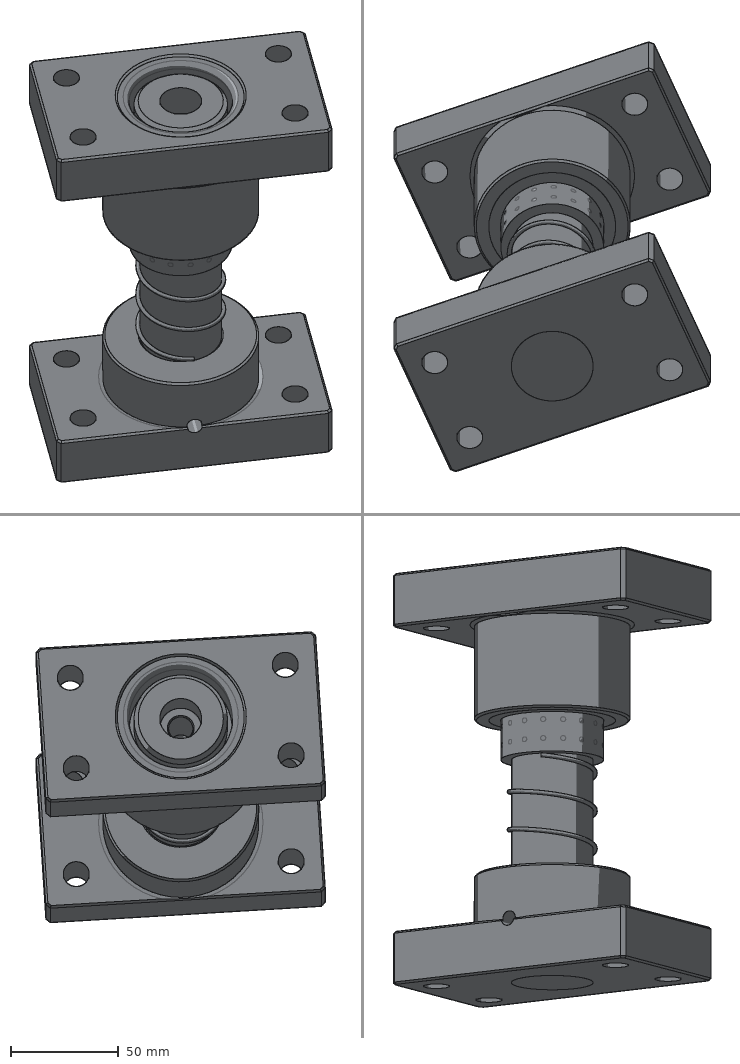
import cadquery as cq
import math

TOTAL_HEIGHT = 193.7
PLATE_LENGTH = 130.0
PLATE_WIDTH = 75.0
PLATE_THICKNESS = 25.0
PLATE_ANGLE = 35.5
CORNER_CHAMFER = 2.0
EDGE_CHAMFER = 1.0

BOLT_SPACING_LONG = 100.0
BOLT_SPACING_SHORT = 44.0
BOLT_HOLE_DIAMETER = 12.0

BOSS_RADIUS = 36.2
ROOT_WIDTH = 2.0
FLARE_HEIGHT = 1.0
GROOVE_DEPTH = 0.5
LOWER_BOSS_TOP = 50.2
UPPER_BOSS_BOTTOM = 123.5
SIDE_HOLE_RADIUS = 3.5
PILLAR_SEAT_CHAMFER = 0.8

BUSHING_RADIUS = 29.5
BUSHING_BORE_RADIUS = 24.0
BUSHING_MOUTH_FILLET = 2.7
BUSHING_SEAT_CHAMFER = 1.0

PILLAR_RADIUS = 19.0
TAPPED_HOLE_RADIUS = 5.6
TAPPED_HOLE_CHAMFER = 0.5
TAPPED_HOLE_DEPTH = 29.0
DRILL_POINT_ANGLE = 118

CAP_RADIUS = 21.7
CAP_THICKNESS = 15.5
CAP_CHAMFER = 2.0
CAP_HOLE_RADIUS = 9.7
CAP_RECESS = 3.3

CAGE_RADIUS = 23.8
CAGE_BOTTOM = 105.0
BALL_RADIUS = 3.5
BALLS_PER_ROW = 16
BALL_ROW_HEIGHTS = (111.2, 120.0)
FIRST_BALL_ANGLE = 14.0

WIRE_RADIUS = 1.0
SPRING_PITCH = 17.8
SPRING_START_ANGLE = 313

UPPER_PLATE_BOTTOM = TOTAL_HEIGHT - PLATE_THICKNESS
CAP_TOP = TOTAL_HEIGHT - CAP_RECESS
BUSHING_TOP = TOTAL_HEIGHT - BUSHING_SEAT_CHAMFER
PILLAR_TOP = CAP_TOP - CAP_THICKNESS
BALL_CENTRE_RADIUS = BUSHING_BORE_RADIUS - BALL_RADIUS
SPRING_RADIUS = PILLAR_RADIUS + WIRE_RADIUS


def cylinder(radius, bottom, top):
    return cq.Workplane("XY").workplane(offset=bottom).circle(radius).extrude(top - bottom)


def revolved(profile):
    """Turn a closed (radius, height) profile about the Z axis."""
    return cq.Workplane("XZ").polyline(profile).close().revolve(360, (0, 0), (0, 1))


def drilled_plate(bottom):
    """Rectangular plate with broken edges and four bolt holes, in its own unturned axes."""
    return (
        cq.Workplane("XY").workplane(offset=bottom)
        .rect(PLATE_LENGTH, PLATE_WIDTH).extrude(PLATE_THICKNESS)
        .edges("|Z").chamfer(CORNER_CHAMFER)
        .faces("<Z or >Z").edges().chamfer(EDGE_CHAMFER)
        .faces(">Z").workplane()
        .rect(BOLT_SPACING_LONG, BOLT_SPACING_SHORT, forConstruction=True).vertices()
        .hole(BOLT_HOLE_DIAMETER)
    )


def boss(plate_face, free_end):
    """Round boss standing on a plate face, with a chamfered free end."""
    free_side = ">Z" if free_end > plate_face else "<Z"
    return cylinder(BOSS_RADIUS, plate_face, free_end).faces(free_side).chamfer(EDGE_CHAMFER)


def upper_boss_flare():
    """Cone at the upper boss's root, trimmed to the flat width of the plate's underside."""
    profile = [
        (0, UPPER_PLATE_BOTTOM),
        (BOSS_RADIUS + ROOT_WIDTH, UPPER_PLATE_BOTTOM),
        (BOSS_RADIUS, UPPER_PLATE_BOTTOM - FLARE_HEIGHT),
        (0, UPPER_PLATE_BOTTOM - FLARE_HEIGHT),
    ]
    flat_width = PLATE_WIDTH - 2 * EDGE_CHAMFER
    trim = cq.Workplane("XY").rect(PLATE_LENGTH, flat_width).extrude(TOTAL_HEIGHT)
    return revolved(profile).intersect(trim)


def lower_boss_groove():
    """V-groove sunk into the lower plate around the foot of its boss."""
    return revolved([
        (BOSS_RADIUS, PLATE_THICKNESS),
        (BOSS_RADIUS + ROOT_WIDTH, PLATE_THICKNESS),
        (BOSS_RADIUS, PLATE_THICKNESS - GROOVE_DEPTH),
    ])


def turned(body):
    return body.rotate((0, 0, 0), (0, 0, 1), PLATE_ANGLE)


def make_lower_plate():
    """Foot plate and boss, bored for the pillar, with a radial hole at the boss root."""
    side_hole = (
        cq.Workplane("XZ").center(0, PLATE_THICKNESS)
        .circle(SIDE_HOLE_RADIUS).extrude(PLATE_WIDTH / 2)
    )
    body = (
        drilled_plate(0).union(boss(PLATE_THICKNESS, LOWER_BOSS_TOP))
        .cut(lower_boss_groove())
        .cut(cylinder(PILLAR_RADIUS, 0, LOWER_BOSS_TOP))
        .faces(">Z").edges(cq.selectors.RadiusNthSelector(0)).chamfer(PILLAR_SEAT_CHAMFER)
        .cut(side_hole)
    )
    return turned(body)


def make_upper_plate():
    """Head plate and hanging boss, bored for the bushing."""
    body = (
        drilled_plate(UPPER_PLATE_BOTTOM).union(boss(UPPER_PLATE_BOTTOM, UPPER_BOSS_BOTTOM))
        .union(upper_boss_flare())
        .cut(cylinder(BUSHING_RADIUS, UPPER_BOSS_BOTTOM, TOTAL_HEIGHT))
        .faces(">Z").edges(cq.selectors.RadiusNthSelector(-1)).chamfer(BUSHING_SEAT_CHAMFER)
    )
    return turned(body)


def make_bushing():
    """Sleeve pressed into the upper plate, with a rounded mouth at the top."""
    sleeve = cylinder(BUSHING_RADIUS, UPPER_BOSS_BOTTOM, BUSHING_TOP)
    bore = cylinder(BUSHING_BORE_RADIUS, UPPER_BOSS_BOTTOM, BUSHING_TOP)
    return (
        sleeve.cut(bore)
        .faces(">Z").edges(cq.selectors.RadiusNthSelector(0)).fillet(BUSHING_MOUTH_FILLET)
    )


def make_pillar():
    """Guide pillar with a blind tapped hole, ending in a drill point, in its top."""
    point_depth = TAPPED_HOLE_RADIUS / math.tan(math.radians(DRILL_POINT_ANGLE / 2))
    hole_bottom = PILLAR_TOP - TAPPED_HOLE_DEPTH
    profile = [
        (0, 0),
        (PILLAR_RADIUS, 0),
        (PILLAR_RADIUS, PILLAR_TOP),
        (TAPPED_HOLE_RADIUS + TAPPED_HOLE_CHAMFER, PILLAR_TOP),
        (TAPPED_HOLE_RADIUS, PILLAR_TOP - TAPPED_HOLE_CHAMFER),
        (TAPPED_HOLE_RADIUS, hole_bottom),
        (0, hole_bottom - point_depth),
    ]
    return revolved(profile)


def make_cap():
    """Stop ring on the pillar's end that overlaps the cage and holds it on."""
    return (
        cylinder(CAP_RADIUS, PILLAR_TOP, CAP_TOP)
        .faces(">Z").chamfer(CAP_CHAMFER)
        .cut(cylinder(CAP_HOLE_RADIUS, PILLAR_TOP, CAP_TOP))
    )


def make_cage():
    """Ball cage: a sleeve with rows of balls standing slightly proud of it."""
    cage = cylinder(CAGE_RADIUS, CAGE_BOTTOM, PILLAR_TOP)
    for height in BALL_ROW_HEIGHTS:
        balls = (
            cq.Workplane("XY").workplane(offset=height)
            .polarArray(BALL_CENTRE_RADIUS, FIRST_BALL_ANGLE, 360, BALLS_PER_ROW)
            .sphere(BALL_RADIUS)
        )
        cage = cage.union(balls)
    return cage.cut(cylinder(PILLAR_RADIUS, CAGE_BOTTOM, PILLAR_TOP))


def make_spring():
    """Left-handed coil around the pillar, from the lower boss up to the cage."""
    start_height = LOWER_BOSS_TOP + WIRE_RADIUS
    coil_height = CAGE_BOTTOM - WIRE_RADIUS - start_height
    path = cq.Wire.makeHelix(SPRING_PITCH, coil_height, SPRING_RADIUS, lefthand=True)
    rise_per_radian = SPRING_PITCH / (2 * math.pi)
    section = cq.Workplane(cq.Plane(
        origin=(SPRING_RADIUS, 0, 0),
        xDir=(1, 0, 0),
        normal=(0, -SPRING_RADIUS, rise_per_radian),
    ))
    coil = section.circle(WIRE_RADIUS).sweep(cq.Workplane(path), isFrenet=True)
    return coil.rotate((0, 0, 0), (0, 0, 1), SPRING_START_ANGLE).translate((0, 0, start_height))


lower_plate = make_lower_plate()
upper_plate = make_upper_plate()
bushing = make_bushing()
pillar = make_pillar()
cap = make_cap()
cage = make_cage()
spring = make_spring()

result = cq.Compound.makeCompound([
    lower_plate.val(),
    upper_plate.val(),
    bushing.val(),
    pillar.val(),
    cap.val(),
    cage.val(),
    spring.val(),
])